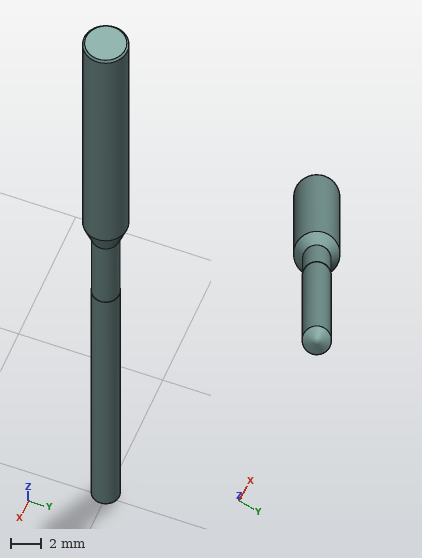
import cadquery as cq
import math

total_length = 50.0
shank_diameter = 3.0
drill_diameter = 1.9
neck_diameter = 1.85

cutting_length = 22.75
neck_length = 5.85
taper_length = 1.7
end_bevel = 0.14
point_angle = 120.0

shank_radius = shank_diameter / 2
drill_radius = drill_diameter / 2
neck_radius = neck_diameter / 2

tip_z = -total_length / 2
shoulder_z = tip_z + drill_radius / math.tan(math.radians(point_angle / 2))
cutting_top_z = tip_z + cutting_length
neck_top_z = cutting_top_z + neck_length
taper_top_z = neck_top_z + taper_length
top_z = tip_z + total_length


def revolve_profile(points):
    """Turn a closed (radius, z) outline about the Z axis."""
    return cq.Workplane("XZ").polyline(points).close().revolve(360, (0, 0), (0, 1))


def make_shank():
    """Plain shank with a bevelled free end and a taper down to the narrower neck."""
    return revolve_profile([
        (0, cutting_top_z),
        (neck_radius, cutting_top_z),
        (neck_radius, neck_top_z),
        (shank_radius, taper_top_z),
        (shank_radius, top_z - end_bevel),
        (shank_radius - end_bevel, top_z),
        (0, top_z),
    ])


def make_cutting_part():
    """Cylindrical cutting part ending in a conical point."""
    return revolve_profile([
        (0, tip_z),
        (drill_radius, shoulder_z),
        (drill_radius, cutting_top_z),
        (0, cutting_top_z),
    ])


shank = make_shank()
cutting_part = make_cutting_part()

result = cq.Compound.makeCompound([shank.val(), cutting_part.val()])